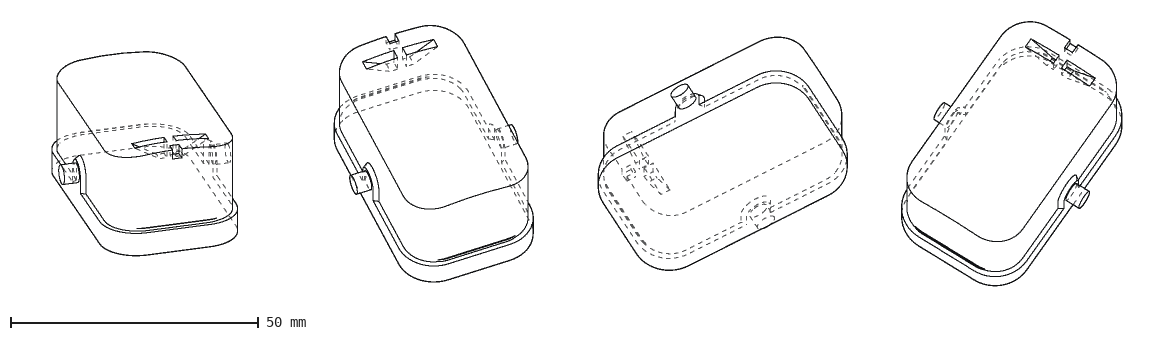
import cadquery as cq
import math

flange_length = 47.9
flange_width = 28.75
flange_height = 5.05
flange_corner = 7.65

side_ledge = 1.0
end_ledge = 1.1
body_length = flange_length - 2 * end_ledge
body_width = flange_width - 2 * side_ledge
body_corner = flange_corner - side_ledge
eaves_height = 20.85
ridge_height = 22.25
roof_rise = ridge_height - eaves_height
roof_radius = ((body_width / 2) ** 2 + roof_rise**2) / (2 * roof_rise)

lip_projection = 0.17
lip_length = body_length + 2 * lip_projection
lip_width = 22.9
lip_corner = 5.0
lip_rise = 0.57
lip_height = flange_height + lip_rise

pin_diameter = 4.0
pin_span = 35.0
pin_height = 8.4
boss_root_radius = 3.4
boss_tip_radius = 2.75
boss_foot = 1.9

pocket_start = 16.75
pocket_length = 2.05
pocket_inner = 0.95
pocket_outer = 7.75
pocket_flat_end = 2.55
pocket_depth = 3.6
pocket_floor = ridge_height - pocket_depth
notch_start = 20.8
notch_width = 2 * pocket_inner
notch_depth = 2.0
cut_clearance = 0.5


def roof_height(y):
    """Height of the roof surface at a distance y from the centre line."""
    return ridge_height - roof_radius + math.sqrt(roof_radius**2 - y**2)


def rounded_block(length, width, height, corner):
    """Upright block on the ground plane with rounded vertical edges."""
    block = cq.Workplane("XY").box(length, width, height, centered=(True, True, False))
    return block.edges("|Z").fillet(corner)


def curved_roof_body():
    """Body with rounded corners under a roof arched across the width."""
    half_width = body_width / 2
    section = (
        cq.Workplane("YZ")
        .moveTo(-half_width, 0)
        .lineTo(half_width, 0)
        .lineTo(half_width, eaves_height)
        .threePointArc((0, ridge_height), (-half_width, eaves_height))
        .close()
        .extrude(body_length / 2, both=True)
    )
    return section.edges("|Z").fillet(body_corner)


def pin_with_boss():
    """Pin and boss on the -Y side."""
    taper = math.degrees(math.atan((boss_root_radius - boss_tip_radius) / side_ledge))
    boss = (
        cq.Workplane("XZ", origin=(0, -body_width / 2, 0))
        .moveTo(-boss_root_radius, boss_foot)
        .lineTo(boss_root_radius, boss_foot)
        .lineTo(boss_root_radius, pin_height)
        .threePointArc((0, pin_height + boss_root_radius), (-boss_root_radius, pin_height))
        .close()
        .extrude(side_ledge, taper=taper)
    )
    pin_length = (pin_span - body_width) / 2
    pin = (
        cq.Workplane("XZ", origin=(0, -body_width / 2, pin_height))
        .circle(pin_diameter / 2)
        .extrude(pin_length)
    )
    return boss.union(pin)


def roof_pocket():
    """Pocket on the +Y side: flat floor, then a ramp rising to the roof."""
    clear_height = ridge_height + cut_clearance
    return (
        cq.Workplane("YZ", origin=(pocket_start, 0, 0))
        .moveTo(pocket_inner, clear_height)
        .lineTo(pocket_inner, pocket_floor)
        .lineTo(pocket_flat_end, pocket_floor)
        .lineTo(pocket_outer, roof_height(pocket_outer))
        .lineTo(pocket_outer, clear_height)
        .close()
        .extrude(pocket_length)
    )


def end_notch():
    """Square notch open to the +X end of the body."""
    cutter = cq.Workplane("XY").box(
        body_length / 2 - notch_start,
        notch_width,
        notch_depth + cut_clearance,
        centered=(False, True, False),
    )
    return cutter.translate((notch_start, 0, ridge_height - notch_depth))


hood = rounded_block(flange_length, flange_width, flange_height, flange_corner)
hood = hood.union(curved_roof_body())
hood = hood.union(rounded_block(lip_length, lip_width, lip_height, lip_corner))

pin_side = pin_with_boss()
hood = hood.union(pin_side).union(pin_side.mirror("XZ"))

pocket = roof_pocket()
result = hood.cut(pocket).cut(pocket.mirror("XZ")).cut(end_notch())